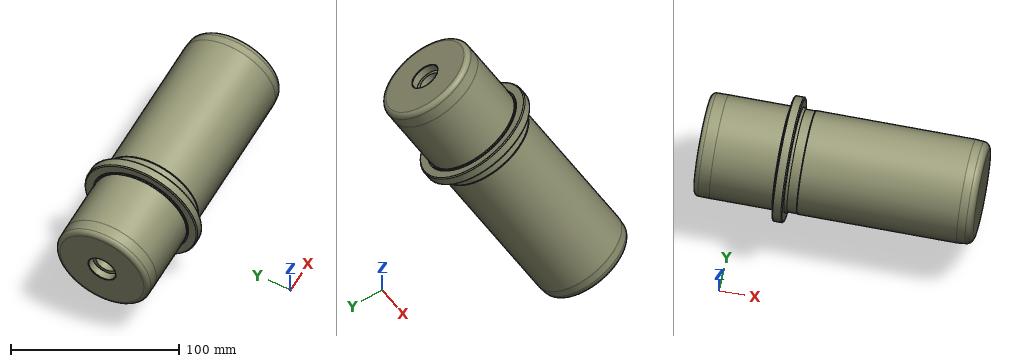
import cadquery as cq
import math

length = 169
body_radius = 31.5

head_fillet = 3.0
tail_fillet = 4.5
tail_taper_start = 159.9
tail_taper_angle = 5.7
head_taper_end = 10.0
head_taper_drop = 0.08

flange_radius = 38.0
flange_start = 49.0
flange_width = 6.3
flange_chamfer = 0.7

undercut_width = 1.0
undercut_depth = 0.5
undercut_reach = 0.8
undercut_recess = 0.3

foot_width = 1.7
foot_height = 0.7
relief_depth = 0.25
relief_end = 63.2
relief_ramp = 0.42

counterbore_radius = 9.1
counterbore_depth = 5.0
counterbore_chamfer = 0.3
bore_radius = 7.0
bore_depth = 33.8
drill_point_angle = 118


def arc_midpoint(center_x, center_r, radius, degrees):
    angle = math.radians(degrees)
    return center_x + radius * math.cos(angle), center_r + radius * math.sin(angle)


def turned_body():
    flange_end = flange_start + flange_width
    relief_radius = body_radius - relief_depth
    head_radius = body_radius - head_taper_drop
    head_center_r = head_radius - head_fillet
    slope = math.radians(tail_taper_angle)
    taper_end_x = length - tail_fillet * (1 - math.sin(slope))
    taper_end_radius = body_radius - (taper_end_x - tail_taper_start) * math.tan(slope)
    tail_center_x = length - tail_fillet
    tail_center_r = taper_end_radius - tail_fillet * math.cos(slope)
    profile = (
        cq.Workplane("XY")
        .moveTo(0, 0)
        .lineTo(0, head_center_r)
        .threePointArc(
            arc_midpoint(head_fillet, head_center_r, head_fillet, 135),
            (head_fillet, head_radius),
        )
        .lineTo(head_taper_end, body_radius)
        .lineTo(flange_start - undercut_width, body_radius)
        .lineTo(flange_start - undercut_width + undercut_depth, body_radius - undercut_depth)
        .lineTo(flange_start + undercut_recess, body_radius - undercut_depth)
        .lineTo(flange_start + undercut_recess, body_radius)
        .lineTo(flange_start, body_radius + undercut_reach)
        .lineTo(flange_start, flange_radius - flange_chamfer)
        .lineTo(flange_start + flange_chamfer, flange_radius)
        .lineTo(flange_end - flange_chamfer, flange_radius)
        .lineTo(flange_end, flange_radius - flange_chamfer)
        .lineTo(flange_end, body_radius + foot_height)
        .lineTo(flange_end + foot_width, relief_radius)
        .lineTo(relief_end - relief_ramp, relief_radius)
        .lineTo(relief_end, body_radius)
        .lineTo(tail_taper_start, body_radius)
        .lineTo(taper_end_x, taper_end_radius)
        .threePointArc(
            arc_midpoint(tail_center_x, tail_center_r, tail_fillet, 45),
            (length, tail_center_r),
        )
        .lineTo(length, 0)
        .close()
    )
    return profile.revolve(360, (0, 0, 0), (1, 0, 0))


def hole():
    point_length = bore_radius / math.tan(math.radians(drill_point_angle / 2))
    profile = (
        cq.Workplane("XY")
        .moveTo(0, 0)
        .lineTo(0, counterbore_radius + counterbore_chamfer)
        .lineTo(counterbore_chamfer, counterbore_radius)
        .lineTo(counterbore_depth, counterbore_radius)
        .lineTo(counterbore_depth, bore_radius)
        .lineTo(bore_depth, bore_radius)
        .lineTo(bore_depth + point_length, 0)
        .close()
    )
    return profile.revolve(360, (0, 0, 0), (1, 0, 0))


result = turned_body().cut(hole())